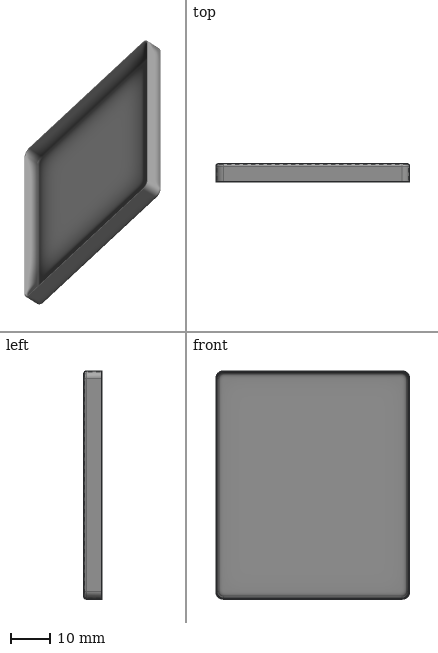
import cadquery as cq

width = 49.7
depth = 4.7
height = 58.5

wall = 0.3
corner_radius = 2.0
edge_radius = 0.8


def rounded_block(size_x, size_y, size_z, corner, back_edge):
    """Block centred on the origin, with rounded corners along Y and a rounded +Y edge."""
    block = cq.Workplane("XY").box(size_x, size_y, size_z)
    block = block.edges("|Y").fillet(corner)
    return block.faces(">Y").edges().fillet(back_edge)


outer = rounded_block(width, depth, height, corner_radius, edge_radius)

cavity = rounded_block(
    width - 2 * wall,
    depth - wall,
    height - 2 * wall,
    corner_radius - wall,
    edge_radius - wall,
).translate((0, -wall / 2, 0))

result = outer.cut(cavity)